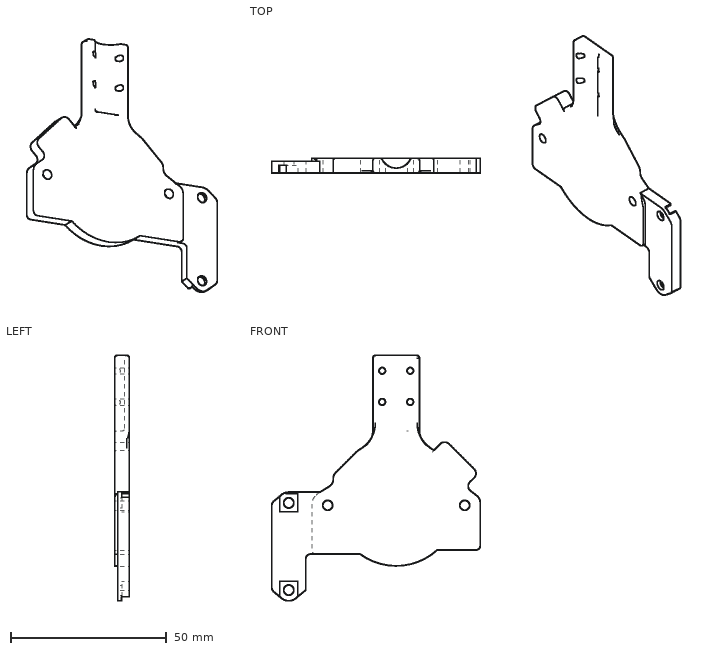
import cadquery as cq
import math

thickness = 4.8
leg_thickness = 3.8

selection_margin = 0.1

disc_radius = 19.5

side_hole_diameter = 3.1
side_hole_half_spacing = 22.0

neck_top = 48.2
neck_half_width = 7.5
neck_root_z = 20.75
neck_root_radius = 6.25
neck_edge_radius = 0.8
neck_top_radius = 1.0
neck_hole_diameter = 2.0
neck_hole_half_spacing = 4.5
neck_hole_top_distance = 5.0
neck_hole_pitch = 10.0

web_half_width = neck_half_width - neck_edge_radius
web_radius = 9.5
web_top = 27.0

channel_radius = 5.05
channel_axis_y = 6.65
channel_floor_z = 24.0
channel_mouth_radius = 0.65
channel_floor_radius = 0.7

overall_width = 67.03
left_x = -40.0
right_x = left_x + overall_width
leg_width = 11.0
boss_radius = 3.5
boss_spacing = 28.0
boss_hole_diameter = 3.2
overall_height = 78.92
leg_corner_radius = 2.0
nut_pocket_width = 5.8
nut_pocket_depth = 2.5
relief_side = 0.75
relief_rise = 1.85

leg_axis_x = left_x + leg_width / 2
leg_right_x = left_x + leg_width
lower_boss_z = neck_top - overall_height + boss_radius
upper_boss_z = lower_boss_z + boss_spacing
leg_top_z = upper_boss_z + boss_radius

shoulder_slope = 0.66
left_shoulder_x = -12.5
left_step_x = -20.25
left_step_radius = 2.6
left_flank_x = -24.5
left_flank_slope = 0.6
bottom_left_z = -15.7
bottom_right_z = -14.4
bottom_corner_radius = 1.5
raised_left_x = -27.15
raised_corner_radius = 4.2

block_root_x = 12.1
block_top_x = 15.55
block_right_x = 26.5
block_corner_radius = 2.0
notch_corner = (22.15, 6.0)
notch_radius = 1.9
right_corner_z = 2.25
right_corner_radius = 3.0


def corner_arc(previous, corner, following, radius):
    """Start, middle and end of the arc that rounds one corner of a polygon."""
    vertex = cq.Vector(*corner)
    to_previous = cq.Vector(*previous).sub(vertex).normalized()
    to_following = cq.Vector(*following).sub(vertex).normalized()
    half_angle = to_previous.getAngle(to_following) / 2
    setback = radius / math.tan(half_angle)
    bisector = to_previous.add(to_following).normalized()
    middle_distance = radius / math.sin(half_angle) - radius
    arc = (
        vertex.add(to_previous.multiply(setback)),
        vertex.add(bisector.multiply(middle_distance)),
        vertex.add(to_following.multiply(setback)),
    )
    return [(point.x, point.y) for point in arc]


def rounded_prism(corners, y_start, y_end):
    """Prism along Y over a polygon of (x, z, corner radius) that starts at a sharp corner."""
    first_x, first_z, _ = corners[0]
    sketch = cq.Workplane("XZ", origin=(0, y_start, 0)).moveTo(first_x, first_z)
    for index in range(1, len(corners)):
        x, z, radius = corners[index]
        if radius == 0:
            sketch = sketch.lineTo(x, z)
            continue
        previous = corners[index - 1][:2]
        following = corners[(index + 1) % len(corners)][:2]
        start, middle, end = corner_arc(previous, (x, z), following, radius)
        sketch = sketch.lineTo(*start).threePointArc(middle, end)
    return sketch.close().extrude(y_start - y_end)


def cylinder_y(x, z, radius, y_start, y_end):
    return cq.Workplane("XZ", origin=(0, y_start, 0)).center(x, z).circle(radius).extrude(y_start - y_end)


def shared_corners(half_width=neck_half_width, top=neck_top, root_radius=neck_root_radius):
    """Corners from the left flank over a neck of the given size and the block to the lower right edge."""
    root_z = neck_root_z + shoulder_slope * (neck_half_width - half_width)
    shoulder_z = neck_root_z - shoulder_slope * (-neck_half_width - left_shoulder_x)
    block_root_z = neck_root_z - shoulder_slope * (block_root_x - neck_half_width)
    block_top_z = block_root_z + block_top_x - block_root_x
    return [
        (left_step_x, leg_top_z + left_flank_slope * (left_step_x - left_flank_x), left_step_radius),
        (left_step_x, shoulder_z + left_step_x - left_shoulder_x, left_step_radius),
        (left_shoulder_x, shoulder_z, left_step_radius),
        (-half_width, root_z, root_radius),
        (-half_width, top, 0),
        (half_width, top, 0),
        (half_width, root_z, root_radius),
        (block_root_x, block_root_z, 0),
        (block_top_x, block_top_z, block_corner_radius),
        (block_right_x, block_top_z - block_right_x + block_top_x, block_corner_radius),
        (*notch_corner, notch_radius),
        (right_x, right_corner_z, right_corner_radius),
        (right_x, bottom_right_z, bottom_corner_radius),
    ]


def leg_corners():
    """Corners of the leg; its sloped ends are tangent to the boss circles."""
    half_width = leg_width / 2
    end_angle = math.asin(boss_radius / half_width)
    tip_z = lower_boss_z - half_width * math.tan(end_angle)
    top_corner_x = left_x + boss_radius / math.tan(end_angle)
    return [
        (leg_right_x, bottom_left_z, bottom_corner_radius),
        (leg_right_x, lower_boss_z, 0),
        (leg_axis_x, tip_z, boss_radius),
        (left_x, lower_boss_z, leg_corner_radius),
        (left_x, upper_boss_z, leg_corner_radius),
        (top_corner_x, leg_top_z, boss_radius),
        (left_flank_x, leg_top_z, 0),
    ]


def plate_outline(left_corners, right_corners):
    """Closed outline; the step between the two bottom edges lies inside the round lobe."""
    bottom_step = [(0, bottom_right_z, 0), (0, bottom_left_z, 0)]
    return bottom_step + left_corners + right_corners


def raised_corners(flank_radius):
    """Left end of the layer that stands above the leg at the back."""
    flank_z = leg_top_z + left_flank_slope * (raised_left_x - left_flank_x)
    return [
        (raised_left_x, bottom_left_z, bottom_corner_radius),
        (raised_left_x, flank_z, flank_radius),
    ]


def make_raised_layer(flank_radius):
    outline = plate_outline(raised_corners(flank_radius), shared_corners())
    return rounded_prism(outline, leg_thickness, thickness)


def make_plate():
    """Leg layer and raised layer, with the flank corner of the raised layer still sharp."""
    base = rounded_prism(plate_outline(leg_corners(), shared_corners()), 0, leg_thickness)
    return base.union(make_raised_layer(0)).clean()


def round_neck_edges(plate):
    """Round the back edges of the left flank, neck and channel, and the neck's front edges."""
    back_box = cq.selectors.BoxSelector(
        (raised_left_x + selection_margin, thickness - selection_margin, 0),
        (block_root_x, thickness + selection_margin, neck_top - neck_top_radius - selection_margin),
    )
    root_reach = neck_root_radius / 2
    front_box = cq.selectors.BoxSelector(
        (-neck_half_width - root_reach, -selection_margin, neck_root_z - root_reach),
        (neck_half_width + root_reach, selection_margin, neck_top - neck_top_radius - selection_margin),
    )
    plate = plate.edges(back_box).fillet(neck_edge_radius)
    return plate.edges(front_box).fillet(neck_edge_radius)


def make_front_web():
    """Sharp-edged front layer that ends the front rounding at the foot of the neck."""
    outline = plate_outline(leg_corners(), shared_corners(web_half_width, web_top, web_radius))
    return rounded_prism(outline, 0, neck_edge_radius)


def cut_raised_corner(plate):
    """Round the flank corner of the raised layer across its already rounded back edge."""
    return plate.cut(make_raised_layer(0).cut(make_raised_layer(raised_corner_radius)))


def make_neck_channel():
    """Round channel with a flared mouth and a rounded floor edge, as a body of revolution."""
    mouth_end = channel_radius + channel_mouth_radius
    mouth_z = neck_top - channel_mouth_radius
    floor_end = channel_radius - channel_floor_radius
    diagonal = math.sqrt(0.5)
    mouth_middle = (
        mouth_end - channel_mouth_radius * diagonal,
        mouth_z + channel_mouth_radius * diagonal,
    )
    floor_middle = (
        floor_end + channel_floor_radius * diagonal,
        channel_floor_z + channel_floor_radius * (1 - diagonal),
    )
    return (
        cq.Workplane("XZ", origin=(0, channel_axis_y, 0))
        .moveTo(0, channel_floor_z)
        .lineTo(floor_end, channel_floor_z)
        .threePointArc(floor_middle, (channel_radius, channel_floor_z + channel_floor_radius))
        .lineTo(channel_radius, mouth_z)
        .threePointArc(mouth_middle, (mouth_end, neck_top))
        .lineTo(0, neck_top)
        .close()
        .revolve(360, (0, 0, 0), (0, 1, 0))
    )


def drill(plate, x, z, diameter):
    return plate.cut(cylinder_y(x, z, diameter / 2, 0, thickness))


def drill_holes(plate):
    upper_row_z = neck_top - neck_hole_top_distance
    for side in (-1, 1):
        plate = drill(plate, side * side_hole_half_spacing, 0, side_hole_diameter)
        for z in (upper_row_z, upper_row_z - neck_hole_pitch):
            plate = drill(plate, side * neck_hole_half_spacing, z, neck_hole_diameter)
    return plate


def front_pocket(x_start, x_end, z_start, z_end):
    """Rectangular cutter reaching from the front face to the nut pocket floor."""
    size = (x_end - x_start, nut_pocket_depth, z_end - z_start)
    return cq.Workplane("XY").box(*size, centered=False).translate((x_start, 0, z_start))


def cut_bosses(plate):
    """Screw holes with square nut pockets, both open at the ends of the leg."""
    half_pocket = nut_pocket_width / 2
    pocket_left = leg_axis_x - half_pocket
    pocket_right = leg_axis_x + half_pocket
    upper_bottom = upper_boss_z - half_pocket
    lower_bottom = lower_boss_z - boss_radius
    upper_pocket = front_pocket(pocket_left, pocket_right, upper_bottom, upper_boss_z + half_pocket)
    lower_pocket = front_pocket(pocket_left, pocket_right, lower_bottom, lower_boss_z + half_pocket)
    relief = front_pocket(left_x, leg_axis_x - relief_side, upper_boss_z + relief_rise, leg_top_z)
    plate = plate.cut(upper_pocket).cut(lower_pocket).cut(relief)
    for z in (lower_boss_z, upper_boss_z):
        plate = drill(plate, leg_axis_x, z, boss_hole_diameter)
    return plate


plate = make_plate().faces(">Z").edges().fillet(neck_top_radius)
plate = plate.cut(make_neck_channel())
plate = round_neck_edges(plate)
plate = plate.union(make_front_web())
plate = plate.union(cylinder_y(0, 0, disc_radius, 0, thickness)).clean()
plate = cut_raised_corner(plate)
plate = drill_holes(plate)
plate = cut_bosses(plate)

result = plate